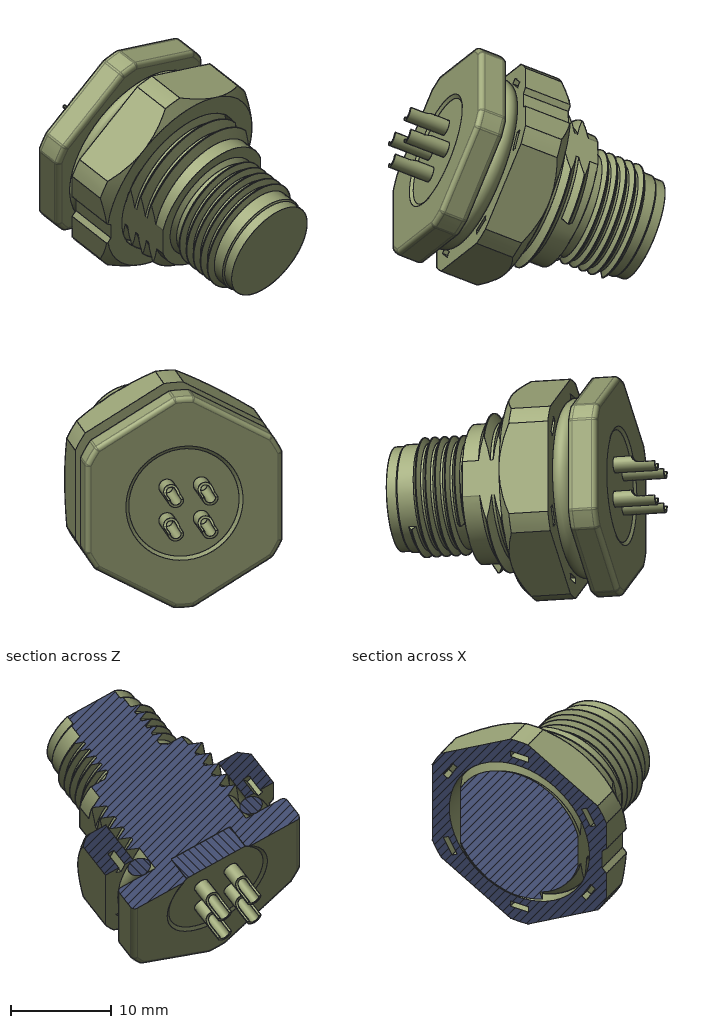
import cadquery as cq
import math


ACROSS_FLATS = 20.0
CORNER_DIAMETER = 22.02

FLANGE_THICKNESS = 3.0
FLANGE_EDGE_RADIUS = 0.5
SHANK_DIAMETER = 13.97
SHANK_ACROSS_FLATS = 13.5
SHANK_END = 14.6
NECK_START_DIAMETER = 11.55
NECK_LENGTH = 0.5
NOSE_DIAMETER = 10.76
TIP_DIAMETER = 10.45
TIP_LENGTH = 1.0
HOUSING_END = 22.8

THREAD_HALF_ANGLE = 30.0
ROOT_OVERLAP = 0.1
CREST_FLAT = 0.1

PANEL_THREAD_DIAMETER = 15.9
PANEL_THREAD_PITCH = 1.5
PANEL_THREAD_TURNS = 5
PANEL_THREAD_START = 5.82
PANEL_THREAD_START_ANGLE = 250.0

PLUG_THREAD_DIAMETER = 11.9
PLUG_THREAD_PITCH = 1.0
PLUG_THREAD_TURNS = 5
PLUG_THREAD_START = 15.48
PLUG_THREAD_START_ANGLE = -45.0

O_RING_CENTRE_DIAMETER = 16.0
O_RING_SECTION = 2.0

NUT_START = FLANGE_THICKNESS + O_RING_SECTION
NUT_THICKNESS = 5.0
NUT_END = NUT_START + NUT_THICKNESS
NUT_BORE_DIAMETER = 16.0
NUT_CHAMFER = 1.0
GROOVE_FLOOR_WIDTH = 2.0
GROOVE_DEPTH = 0.5
SLOT_COUNT = 6
SLOT_LENGTH = 2.0
SLOT_WIDTH = 0.6
SLOT_RADIUS = 9.15
SLOT_DEPTH = 2.0

INSERT_DIAMETER = 11.2
INSERT_START = 0.25
RECESS_MOUTH_DIAMETER = 11.9
INSERT_END = FLANGE_THICKNESS

PIN_DIAMETER = 1.6
PIN_SPACING = 3.5
PIN_PROJECTION = 4.0
CUP_BORE_DIAMETER = 1.1
CUP_BORE_DEPTH = 4.0
CUP_TIP_ANGLE = 118.0
CUP_OPENING_LENGTH = 1.5
CUP_RUNOUT_RADIUS = 1.0


def cylinder(diameter, start, end):
    return cq.Workplane("YZ", origin=(start, 0, 0)).circle(diameter / 2).extrude(end - start)


def rounded_hexagon(start, thickness):
    """Hexagon with flats facing +Y and -Y, its corners turned down to a circle."""
    radius = CORNER_DIAMETER / 2
    half_flat_angle = math.degrees(math.acos(ACROSS_FLATS / CORNER_DIAMETER))

    def on_circle(angle):
        turn = math.radians(angle)
        return radius * math.cos(turn), radius * math.sin(turn)

    outline = cq.Workplane("YZ", origin=(start, 0, 0)).moveTo(*on_circle(-half_flat_angle))
    for flat_angle in range(0, 360, 60):
        outline = outline.lineTo(*on_circle(flat_angle + half_flat_angle))
        outline = outline.threePointArc(
            on_circle(flat_angle + 30), on_circle(flat_angle + 60 - half_flat_angle)
        )
    return outline.close().extrude(thickness)


def make_thread(crest_diameter, core_diameter, pitch, turns, start, start_angle):
    """Right-handed V ridge wound around the X axis, its root sunk into the core."""
    crest_radius = crest_diameter / 2
    root_radius = core_diameter / 2 - ROOT_OVERLAP
    half_crest = CREST_FLAT / 2
    half_root = half_crest + (crest_radius - root_radius) * math.tan(math.radians(THREAD_HALF_ANGLE))
    path = cq.Wire.makeHelix(pitch, pitch * turns, core_diameter / 2)
    ridge = (
        cq.Workplane("XZ")
        .polyline([
            (root_radius, -half_root),
            (crest_radius, -half_crest),
            (crest_radius, half_crest),
            (root_radius, half_root),
        ])
        .close()
        .sweep(cq.Workplane(obj=path), isFrenet=True)
    )
    along_x = ridge.rotate((0, 0, 0), (0, 1, 0), 90)
    return along_x.rotate((0, 0, 0), (1, 0, 0), start_angle + 90).translate((start, 0, 0))


def make_flange():
    """Hexagonal flange with all of its edges rounded."""
    flange = rounded_hexagon(0, FLANGE_THICKNESS)
    return flange.edges().fillet(FLANGE_EDGE_RADIUS)


def make_shank():
    """Panel-thread shank with two wrench flats."""
    shank = cylinder(SHANK_DIAMETER, FLANGE_THICKNESS, SHANK_END)
    thread = make_thread(
        PANEL_THREAD_DIAMETER, SHANK_DIAMETER, PANEL_THREAD_PITCH,
        PANEL_THREAD_TURNS, PANEL_THREAD_START, PANEL_THREAD_START_ANGLE,
    )
    between_flats = cq.Workplane("XY").box(
        SHANK_END, SHANK_ACROSS_FLATS, ACROSS_FLATS, centered=(False, True, True)
    )
    return shank.union(thread).intersect(between_flats)


def make_plug():
    """Threaded nose with a conical neck behind it and a reduced tip."""
    tip_start = HOUSING_END - TIP_LENGTH
    tip_step = (NOSE_DIAMETER - TIP_DIAMETER) / 2
    profile = [
        (SHANK_END, 0),
        (SHANK_END, NECK_START_DIAMETER / 2),
        (SHANK_END + NECK_LENGTH, NOSE_DIAMETER / 2),
        (tip_start - tip_step, NOSE_DIAMETER / 2),
        (tip_start, TIP_DIAMETER / 2),
        (HOUSING_END, TIP_DIAMETER / 2),
        (HOUSING_END, 0),
    ]
    nose = cq.Workplane("XY").polyline(profile).close().revolve(360, (0, 0, 0), (1, 0, 0))
    thread = make_thread(
        PLUG_THREAD_DIAMETER, NOSE_DIAMETER, PLUG_THREAD_PITCH,
        PLUG_THREAD_TURNS, PLUG_THREAD_START, PLUG_THREAD_START_ANGLE,
    )
    return nose.union(thread)


def make_housing():
    body = make_flange().union(make_shank()).union(make_plug())
    recess = cylinder(INSERT_DIAMETER, 0, INSERT_END)
    countersink = (
        cq.Workplane("XY")
        .polyline([
            (0, 0),
            (0, RECESS_MOUTH_DIAMETER / 2),
            (INSERT_START, INSERT_DIAMETER / 2),
            (INSERT_START, 0),
        ])
        .close()
        .revolve(360, (0, 0, 0), (1, 0, 0))
    )
    return body.cut(recess).cut(countersink)


def make_o_ring():
    centre = (FLANGE_THICKNESS + O_RING_SECTION / 2, O_RING_CENTRE_DIAMETER / 2)
    section = cq.Workplane("XY").center(*centre).circle(O_RING_SECTION / 2)
    return section.revolve(360, (-centre[0], -centre[1], 0), (1 - centre[0], -centre[1], 0))


def make_nut():
    nut = rounded_hexagon(NUT_START, NUT_THICKNESS)
    turned = cylinder(CORNER_DIAMETER, NUT_START, NUT_END).faces(">X").chamfer(NUT_CHAMFER)
    nut = nut.intersect(turned).cut(cylinder(NUT_BORE_DIAMETER, NUT_START, NUT_END))

    flat = -ACROSS_FLATS / 2
    half_floor = GROOVE_FLOOR_WIDTH / 2
    half_mouth = half_floor + GROOVE_DEPTH
    groove = (
        cq.Workplane("YZ", origin=(NUT_START, 0, 0))
        .polyline([
            (flat, -half_mouth),
            (flat + GROOVE_DEPTH, -half_floor),
            (flat + GROOVE_DEPTH, half_floor),
            (flat, half_mouth),
        ])
        .close()
        .extrude(NUT_THICKNESS)
    )

    slots = (
        cq.Workplane("YZ", origin=(NUT_START, 0, 0))
        .polarArray(SLOT_RADIUS, 90, 360, SLOT_COUNT)
        .rect(SLOT_WIDTH, SLOT_LENGTH)
        .extrude(SLOT_DEPTH)
    )
    return nut.cut(groove).cut(slots)


def make_insert():
    insert = cylinder(INSERT_DIAMETER, INSERT_START, INSERT_END)
    pin_holes = (
        cq.Workplane("YZ", origin=(INSERT_START, 0, 0))
        .rect(PIN_SPACING, PIN_SPACING, forConstruction=True)
        .vertices()
        .circle(PIN_DIAMETER / 2)
        .extrude(INSERT_END - INSERT_START)
    )
    return insert.cut(pin_holes)


def make_pin(y, z):
    """Pin whose rear end is a drilled cup with its upper half cut away."""
    rear = -PIN_PROJECTION
    pin = cylinder(PIN_DIAMETER, rear, INSERT_END)

    bore_radius = CUP_BORE_DIAMETER / 2
    bore_end = rear + CUP_BORE_DEPTH
    bore_tip = bore_end + bore_radius / math.tan(math.radians(CUP_TIP_ANGLE / 2))
    bore = (
        cq.Workplane("XY")
        .polyline([(rear, 0), (rear, bore_radius), (bore_end, bore_radius), (bore_tip, 0)])
        .close()
        .revolve(360, (0, 0, 0), (1, 0, 0))
    )

    opening_end = rear + CUP_OPENING_LENGTH
    runout = CUP_RUNOUT_RADIUS
    opening = (
        cq.Workplane("XZ")
        .moveTo(rear, 0)
        .lineTo(opening_end, 0)
        .radiusArc((opening_end + runout, runout), -runout)
        .lineTo(rear, runout)
        .close()
        .extrude(PIN_DIAMETER / 2, both=True)
    )
    return pin.cut(bore).cut(opening).translate((0, y, z))


housing = make_housing()
o_ring = make_o_ring()
nut = make_nut()
insert = make_insert()
pin_offset = PIN_SPACING / 2
pins = []
for y_side in (-1, 1):
    for z_side in (-1, 1):
        pins.append(make_pin(y_side * pin_offset, z_side * pin_offset).val())

result = cq.Compound.makeCompound([housing.val(), o_ring.val(), nut.val(), insert.val(), *pins])